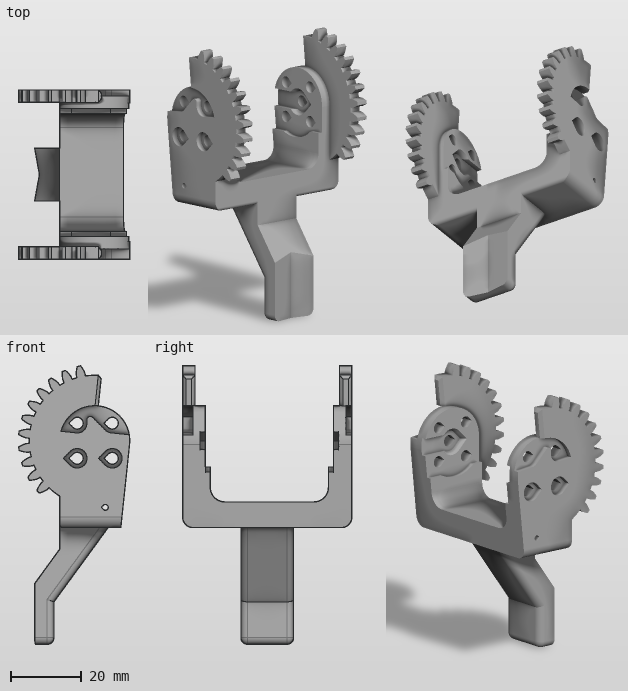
import cadquery as cq
import math


overall_height = 78.95
yoke_width = 48.0

tooth_count = 30
teeth_above = 7
teeth_below = 4
gear_tip_radius = 21.6
gear_module = gear_tip_radius / (tooth_count / 2 + 1)
pitch_radius = gear_module * tooth_count / 2
root_radius = pitch_radius - 1.25 * gear_module
pressure_angle = math.radians(20)
base_radius = pitch_radius * math.cos(pressure_angle)
tooth_pitch = 2 * math.pi / tooth_count
gear_thickness = 3.55
gear_end_chamfer = 0.95
flank_points = 5

hub_radius = 9.95
back_tilt = tooth_pitch / 2
web_thickness = 3.55
hub_step = 1.4
front_pocket_depth = 2.9
rear_pocket_depth = 1.7
step_front_z = -7.4
step_back_z = -8.9

yoke_bottom_z = -24.6
floor_top_z = -17.3
outer_corner_radius = 3.0
inner_corner_radius = 4.0
front_edge_radius = 1.0

screw_offset = 5.0
screw_radius = 1.65
counterbore_radius = 2.8
pin_radius = 0.8
pin_x = 3.0
pin_z = -18.9
pocket_crest_radius = 0.95

horn_depth = 1.5
horn_seat_radius = 3.9
horn_seat_floor_radius = 3.0
horn_arm_half_width = 2.5

leg_width = 15.0
leg_front_x = -17.05
leg_back_x = -11.5
leg_front_bend_top_z = -30.7
leg_front_bend_z = -40.5
leg_back_bend_z = -45.6
leg_back_top_x = 3.8
leg_overlap = 2.4
leg_edge_radius = 2.0
groove_depth = 1.35


def involute(angle):
    return math.tan(angle) - angle


def polar(radius, angle):
    """Point in the X-Z plane; the angle runs clockwise from -X up toward +Z."""
    return (-radius * math.cos(angle), radius * math.sin(angle))


def slab_plane(y_max):
    """X-Z sketch plane whose extrusions run toward -Y."""
    return cq.Workplane("XZ", origin=(0, y_max, 0))


def teardrop(sketch, radius, x=0.0, z=0.0):
    """Circle with a 90 degree point toward -X."""
    tangent = radius * math.sqrt(0.5)
    return (
        sketch.moveTo(x - radius * math.sqrt(2), z)
        .lineTo(x - tangent, z + tangent)
        .threePointArc((x + radius, z), (x - tangent, z - tangent))
        .close()
    )


def tooth_half_angle(radius):
    flank = math.acos(min(1.0, base_radius / radius))
    return tooth_pitch / 4 + involute(pressure_angle) - involute(flank)


tip_half_angle = tooth_half_angle(gear_tip_radius)
top_tooth_angle = (teeth_above - 0.5) * tooth_pitch
gear_top_z = gear_tip_radius * math.sin(top_tooth_angle + tip_half_angle)
leg_bottom_z = gear_top_z - overall_height


def tooth(y_max, angle):
    """One involute tooth, with radial flanks below the base circle."""
    radii = [
        base_radius + (gear_tip_radius - base_radius) * i / (flank_points - 1)
        for i in range(flank_points)
    ]
    lower = [polar(r, angle - tooth_half_angle(r)) for r in radii]
    upper = [polar(r, angle + tooth_half_angle(r)) for r in reversed(radii)]
    base_half_angle = tooth_half_angle(base_radius)
    foot_radius = root_radius - gear_module / 2
    return (
        slab_plane(y_max)
        .moveTo(*polar(foot_radius, angle - base_half_angle))
        .lineTo(*lower[0])
        .spline(lower[1:], includeCurrent=True)
        .threePointArc(polar(gear_tip_radius, angle), upper[0])
        .spline(upper[1:], includeCurrent=True)
        .lineTo(*polar(foot_radius, angle + base_half_angle))
        .close()
        .extrude(gear_thickness)
    )


def sector_gear(y_max):
    """Half wheel in front of the tilted end face, toothed over part of its rim."""
    end_angle = math.pi / 2 + back_tilt
    gear = (
        slab_plane(y_max)
        .moveTo(*polar(root_radius, end_angle - math.pi))
        .threePointArc(polar(root_radius, end_angle - math.pi / 2), polar(root_radius, end_angle))
        .close()
        .extrude(gear_thickness)
    )
    end_normal = cq.Vector(math.cos(back_tilt), 0, -math.sin(back_tilt))
    gear = gear.faces(cq.selectors.DirectionMinMaxSelector(end_normal)).edges().chamfer(gear_end_chamfer)
    for i in range(-teeth_below, teeth_above):
        gear = gear.union(tooth(y_max, (i + 0.5) * tooth_pitch))
    return gear


def back_face_x(z):
    """X of the tilted back face, which is tangent to the hub."""
    return hub_radius / math.cos(back_tilt) + z * math.tan(back_tilt)


def yoke_block():
    """Solid block with the side outline of the yoke: a rounded top and a tilted back."""
    tangent_point = (hub_radius * math.cos(back_tilt), -hub_radius * math.sin(back_tilt))
    block = (
        slab_plane(yoke_width / 2)
        .moveTo(-hub_radius, yoke_bottom_z)
        .lineTo(-hub_radius, 0)
        .threePointArc((0, hub_radius), tangent_point)
        .lineTo(back_face_x(yoke_bottom_z), yoke_bottom_z)
        .close()
        .extrude(yoke_width)
    )
    block = block.faces("<Z").edges("|X").fillet(outer_corner_radius)
    corner_x = -hub_radius + front_edge_radius
    corner_z = yoke_bottom_z + front_edge_radius
    diagonal = front_edge_radius * math.sqrt(0.5)
    front_edge_waste = (
        slab_plane(yoke_width / 2)
        .moveTo(-hub_radius, yoke_bottom_z)
        .lineTo(-hub_radius, corner_z)
        .threePointArc((corner_x - diagonal, corner_z - diagonal), (corner_x, yoke_bottom_z))
        .close()
        .extrude(yoke_width)
    )
    return block.cut(front_edge_waste)


def channel():
    """Space between the cheeks, with rounded lower corners."""
    y_min = -yoke_width / 2 + front_pocket_depth + web_thickness + hub_step
    y_max = yoke_width / 2 - rear_pocket_depth - web_thickness - hub_step
    return (
        cq.Workplane("XY", origin=(0, (y_min + y_max) / 2, floor_top_z))
        .rect(4 * hub_radius, y_max - y_min)
        .extrude(2 * overall_height)
        .faces("<Z")
        .edges("|X")
        .fillet(inner_corner_radius)
    )


def outer_pocket(y_max, depth):
    """Upper part of the hub cut back around the two upper screws, plus the lower counterbores."""
    c = screw_offset
    r = counterbore_radius
    across = (math.cos(back_tilt), -math.sin(back_tilt))
    low = (-r * math.sin(back_tilt), -r * math.cos(back_tilt))
    diagonal = r * math.sqrt(0.5)
    reach = 2 * hub_radius
    left_low = (-c + low[0], c + low[1])
    right_low = (c + low[0], c + low[1])
    crest_x = -c + r + pocket_crest_radius
    edge_sum = 2 * c - r * math.sqrt(2)
    crest_z = edge_sum - pocket_crest_radius * math.sqrt(2) - crest_x
    mid_angle = (math.pi / 4 + back_tilt) / 2
    crest_diagonal = pocket_crest_radius * math.sqrt(0.5)
    outline = (
        slab_plane(y_max)
        .moveTo(left_low[0] - reach * across[0], left_low[1] - reach * across[1])
        .lineTo(*left_low)
        .threePointArc((-c + diagonal, c - diagonal), (-c + r, c))
        .lineTo(crest_x - pocket_crest_radius, crest_z)
        .threePointArc(
            (crest_x, crest_z + pocket_crest_radius),
            (crest_x + crest_diagonal, crest_z + crest_diagonal),
        )
        .lineTo(c - diagonal, c - diagonal)
        .threePointArc((c - r * math.sin(mid_angle), c - r * math.cos(mid_angle)), right_low)
        .lineTo(right_low[0] + reach * across[0], right_low[1] + reach * across[1])
        .lineTo(reach, reach)
        .lineTo(-reach, reach)
        .close()
        .extrude(depth)
    )
    pocket = outline.intersect(slab_plane(y_max).circle(hub_radius).extrude(depth))
    for x in (-c, c):
        pocket = pocket.union(teardrop(slab_plane(y_max), r, x, -c).extrude(depth))
    return pocket


def hub_recess(y_max):
    """Step in the inner cheek face that sets back the hub: stepped floor with a round dip."""
    reach = 2 * hub_radius
    step = (
        slab_plane(y_max)
        .moveTo(-reach, step_front_z)
        .lineTo(0, step_front_z)
        .lineTo(0, step_back_z)
        .lineTo(reach, step_back_z)
        .lineTo(reach, reach)
        .lineTo(-reach, reach)
        .close()
        .extrude(hub_step)
    )
    return step.union(slab_plane(y_max).circle(hub_radius).extrude(hub_step))


def horn_recess(y_face, y_floor):
    """Tapered teardrop seat on the axis with a straight-sided arm open to the back."""
    mouth = teardrop(slab_plane(y_face), horn_seat_radius).val()
    floor = teardrop(slab_plane(y_floor), horn_seat_floor_radius).val()
    arm = (
        slab_plane(max(y_face, y_floor))
        .center(hub_radius, 0)
        .rect(2 * hub_radius, 2 * horn_arm_half_width)
        .extrude(horn_depth)
    )
    return arm.union(cq.Workplane(cq.Solid.makeLoft([mouth, floor], True)))


def through_holes():
    """Screw holes at the corners of a square and the pin hole through the floor."""
    holes = teardrop(slab_plane(yoke_width / 2), pin_radius, pin_x, pin_z).extrude(yoke_width)
    for x in (-screw_offset, screw_offset):
        for z in (-screw_offset, screw_offset):
            hole = teardrop(slab_plane(yoke_width / 2), screw_radius, x, z).extrude(yoke_width)
            holes = holes.union(hole)
    return holes


def finish_cheek(body, side, pocket_depth):
    """Add the gear to the cheek on the given Y side and cut its pockets and recesses."""

    def y_at(depth):
        """Y at a depth below the cheek's outer face."""
        return side * (yoke_width / 2 - depth)

    def top_y(depth, thickness):
        """Larger Y of the slab between a depth and that depth plus a thickness."""
        return max(y_at(depth), y_at(depth + thickness))

    hub_depth = pocket_depth + web_thickness
    blind_depth = web_thickness - horn_depth
    body = body.union(sector_gear(top_y(0, gear_thickness)))
    body = body.cut(outer_pocket(top_y(0, pocket_depth), pocket_depth))
    body = body.cut(hub_recess(top_y(hub_depth, hub_step)))
    body = body.cut(horn_recess(y_at(hub_depth), y_at(hub_depth - horn_depth)))
    centre_hole = teardrop(slab_plane(top_y(pocket_depth, blind_depth)), screw_radius)
    return body.cut(centre_hole.extrude(blind_depth))


def leg():
    """Cranked leg with rounded back and bottom edges and a V groove down its front."""
    slope = (leg_back_top_x - leg_back_x) / (yoke_bottom_z - leg_back_bend_z)
    top_z = yoke_bottom_z + leg_overlap
    body = (
        slab_plane(leg_width / 2)
        .moveTo(-hub_radius, top_z)
        .lineTo(-hub_radius, leg_front_bend_top_z)
        .lineTo(leg_front_x, leg_front_bend_z)
        .lineTo(leg_front_x, leg_bottom_z)
        .lineTo(leg_back_x, leg_bottom_z)
        .lineTo(leg_back_x, leg_back_bend_z)
        .lineTo(leg_back_top_x + slope * leg_overlap, top_z)
        .close()
        .extrude(leg_width)
    )
    sloping_edges = cq.selectors.ParallelDirSelector(cq.Vector(slope, 0, 1))
    rounded_edges = (
        body.edges(sloping_edges)
        .add(body.faces("+X").edges("|Z or <Z"))
        .add(body.faces("<Z").edges("|X"))
    )
    body = body.newObject(rounded_edges.vals()).fillet(leg_edge_radius)
    groove = (
        cq.Workplane("XY", origin=(0, 0, leg_bottom_z))
        .polyline([
            (leg_front_x, -leg_width / 2),
            (leg_front_x + groove_depth, 0),
            (leg_front_x, leg_width / 2),
        ])
        .close()
        .extrude(leg_front_bend_top_z - leg_bottom_z)
    )
    return body.cut(groove)


bracket = yoke_block().cut(channel())
bracket = finish_cheek(bracket, -1, front_pocket_depth)
bracket = finish_cheek(bracket, 1, rear_pocket_depth)
result = bracket.cut(through_holes()).union(leg())